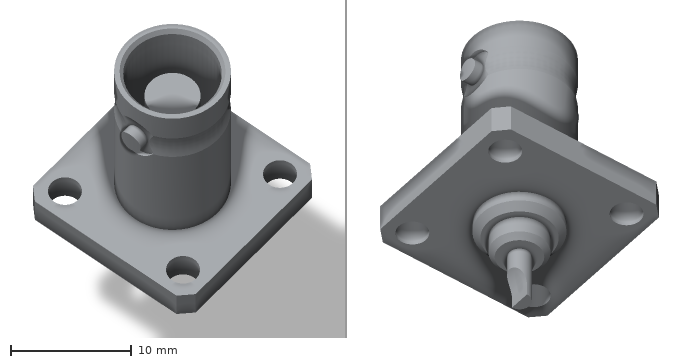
import cadquery as cq
import math

total_height = 27.12
flange_top = 11.34
flange_thickness = 2.6
flange_bottom = flange_top - flange_thickness

flange_side = 17.5
flange_corner_chamfer = 1.15
mount_hole_diameter = 2.82
mount_hole_pitch = 12.7

barrel_radius = 4.85
bore_radius = 4.1
bore_depth = total_height - flange_top
rim_bevel_width = 0.3
rim_bevel_depth = 0.38
insulator_radius = 2.33
insulator_recess = 3.45

lug_height = total_height - 4.12
groove_half_height = 1.3
groove_radius = 4.7
lug_radius = 1.03
lug_reach = 5.53
spotface_distance = 4.53
spotface_floor_radius = 2.05
spotface_outer_radius = 2.22

collar_radius = 3.9
collar_bottom = 7.1
collar_chamfer = 0.65
neck_radius = 2.58
neck_bottom = 4.95
neck_chamfer = 0.52
pin_radius = 1.03
scoop_top = 3.0
scoop_tangent_height = 1.03


def cylinder(radius, bottom, top):
    return cq.Workplane("XY").workplane(offset=bottom).circle(radius).extrude(top - bottom)


def make_flange():
    flange = (
        cq.Workplane("XY")
        .workplane(offset=flange_bottom)
        .rect(flange_side, flange_side)
        .extrude(flange_thickness)
        .edges("|Z")
        .chamfer(flange_corner_chamfer)
    )
    return (
        flange.faces(">Z")
        .workplane()
        .rect(mount_hole_pitch, mount_hole_pitch, forConstruction=True)
        .vertices()
        .hole(mount_hole_diameter)
    )


def make_barrel():
    """Revolve the barrel wall, including the rim bevel and the arched groove."""
    profile = (
        cq.Workplane("XZ")
        .moveTo(bore_radius, total_height - bore_depth)
        .lineTo(barrel_radius, flange_top)
        .lineTo(barrel_radius, lug_height - groove_half_height)
        .threePointArc((groove_radius, lug_height), (barrel_radius, lug_height + groove_half_height))
        .lineTo(barrel_radius, total_height)
        .lineTo(bore_radius + rim_bevel_width, total_height)
        .lineTo(bore_radius, total_height - rim_bevel_depth)
        .close()
    )
    return profile.revolve(360, (0, 0, 0), (0, 1, 0))


def make_spotface(side):
    """Flared cutter that leaves a flat seat around one lug; side is +1 or -1 along Y."""
    flare_depth = barrel_radius - spotface_distance
    return cq.Workplane(
        cq.Solid.makeCone(
            spotface_floor_radius,
            spotface_outer_radius,
            flare_depth,
            cq.Vector(0, side * spotface_distance, lug_height),
            cq.Vector(0, side, 0),
        )
    )


def make_lugs():
    """Two radial pegs whose ends follow a cylinder about the barrel axis."""
    pegs = cq.Workplane("XZ").center(0, lug_height).circle(lug_radius).extrude(lug_reach, both=True)
    envelope = cylinder(lug_reach, lug_height - lug_radius, lug_height + lug_radius)
    inside = cylinder((bore_radius + spotface_distance) / 2, flange_top, total_height)
    return pegs.intersect(envelope).cut(inside)


def make_pin():
    """Solder pin with its +Y half scooped away along an arc tangent to the pin axis."""
    pin = cylinder(pin_radius, 0, neck_bottom)
    rise = scoop_top - scoop_tangent_height
    arc_radius = (rise**2 + pin_radius**2) / (2 * pin_radius)
    half_angle = math.asin(rise / arc_radius) / 2
    arc_middle = (
        arc_radius * (1 - math.cos(half_angle)),
        scoop_tangent_height + arc_radius * math.sin(half_angle),
    )
    scoop = (
        cq.Workplane("YZ")
        .moveTo(0, 0)
        .lineTo(0, scoop_tangent_height)
        .threePointArc(arc_middle, (pin_radius, scoop_top))
        .lineTo(pin_radius, 0)
        .close()
        .extrude(pin_radius, both=True)
    )
    return pin.cut(scoop)


barrel = make_barrel()
for side in (-1, 1):
    barrel = barrel.cut(make_spotface(side))

insulator = cylinder(insulator_radius, flange_top, total_height - insulator_recess)
collar = cylinder(collar_radius, collar_bottom, flange_bottom).faces("<Z").chamfer(collar_chamfer)
neck = cylinder(neck_radius, neck_bottom, collar_bottom).faces("<Z").chamfer(neck_chamfer)

result = make_flange()
for piece in (barrel, make_lugs(), insulator, collar, neck, make_pin()):
    result = result.union(piece)